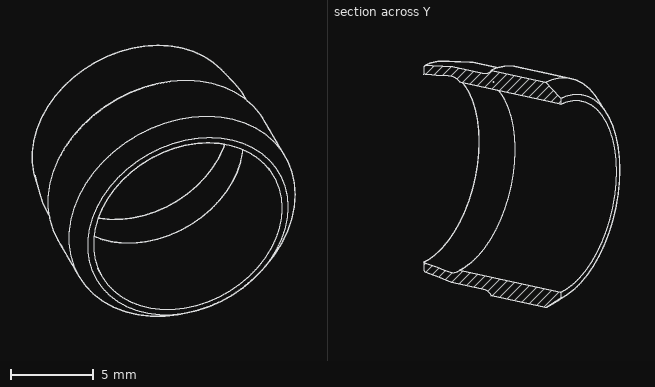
import cadquery as cq
import math

length = 10.0
nose_taper_end = 2.03
shoulder_start = 4.38
shoulder_end = 4.91
chamfer_length = 1.1

body_radius = 14.4 / 2
neck_radius = 13.81 / 2
bore_radius = 12.0 / 2
nose_radius = 6.6
tail_radius = 6.38
nose_rounding = 0.19

mouth_taper_end = 1.89
mouth_inner_radius = 6.25
mouth_end = 2.62


def revolve_about_x(profile):
    return profile.close().revolve(360, (0, 0, 0), (1, 0, 0))


def shoulder_midpoint():
    """Middle of the concave shoulder arc, which leaves the neck tangentially."""
    run = shoulder_end - shoulder_start
    rise = body_radius - neck_radius
    sweep = 2 * math.atan2(rise, run)
    arc_radius = run / math.sin(sweep)
    x = shoulder_start + arc_radius * math.sin(sweep / 2)
    r = neck_radius + arc_radius * (1 - math.cos(sweep / 2))
    return x, r


def make_sleeve():
    profile = (
        cq.Workplane("XY")
        .moveTo(0, bore_radius)
        .lineTo(0, nose_radius)
        .lineTo(nose_taper_end, neck_radius)
        .lineTo(shoulder_start, neck_radius)
        .threePointArc(shoulder_midpoint(), (shoulder_end, body_radius))
        .lineTo(length - chamfer_length, body_radius)
        .lineTo(length, tail_radius)
        .lineTo(length, bore_radius)
    )
    sleeve = revolve_about_x(profile)
    nose_rim = cq.selectors.RadiusNthSelector(-1)
    return sleeve.faces("<X").edges(nose_rim).fillet(nose_rounding)


def make_bore_mouth():
    profile = (
        cq.Workplane("XY")
        .lineTo(0, bore_radius)
        .lineTo(mouth_taper_end, mouth_inner_radius)
        .tangentArcPoint((mouth_end, bore_radius), relative=False)
        .lineTo(mouth_end, 0)
    )
    return revolve_about_x(profile)


result = make_sleeve().cut(make_bore_mouth())